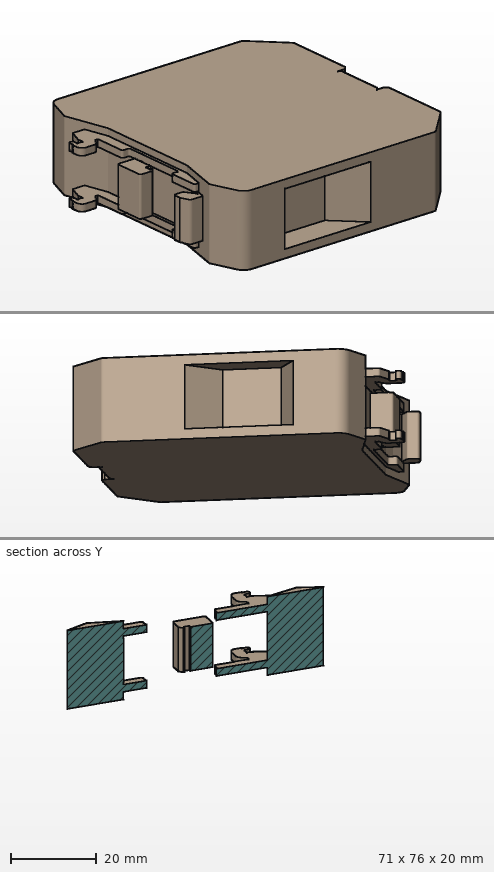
import cadquery as cq
import math

width = 71.0
height = 76.0
thickness = 20.0
half_width = width / 2
back_y = height / 2
hook_tip_y = -height / 2

back_chamfer = 8.5
small_round = 1.0
side_end_y = -28.0
toe_x = 26.6
toe_y = -31.3
toe_round = 0.5
seat_x = 14.45
seat_y = -28.1
front_corner_round = 3.05

notch_half_width = 7.15
notch_depth = 2.2
notch_bevel = 0.8

pocket_half_height = 7.6
pocket_depth = 7.5
pocket_mouth = (-15.9, 9.9)
pocket_floor = (-11.55, 2.3)

plate_inner_z = 6.1
plate_thickness = 2.0
foot_half_width = 21.0
foot_edge_y = -31.15
relief_y = -29.0
relief_left_x = -5.55
relief_right_x = 12.55
slider_half_height = 5.6
fine_round = 0.5
throat_angle = 30
hook_round = 1.5

overlap = 1.5
root_y = seat_y + overlap


def prism(points, z_min, z_max):
    """Closed XY polygon extruded from z_min to z_max."""
    return cq.Workplane("XY").workplane(offset=z_min).polyline(points).close().extrude(z_max - z_min)


def round_corners(body, corners, radius):
    """Fillet the Z-parallel edges that pass through the given XY corners."""
    for x, y in corners:
        margin = 0.04
        box = cq.selectors.BoxSelector(
            (x - margin, y - margin, -thickness), (x + margin, y + margin, thickness), boundingbox=False
        )
        body = body.edges("|Z").edges(box).fillet(radius)
    return body


def make_housing():
    """Mirror-symmetric plan, cut in at the front to a seat between two toes."""
    half_thickness = thickness / 2
    chamfer_x = half_width - back_chamfer
    chamfer_y = back_y - back_chamfer
    notch_floor_y = back_y - notch_depth
    right_side = [
        (seat_x, seat_y),
        (toe_x, toe_y),
        (half_width, side_end_y),
        (half_width, chamfer_y),
        (chamfer_x, back_y),
        (notch_half_width + notch_bevel, back_y),
        (notch_half_width, back_y - notch_bevel),
        (notch_half_width, notch_floor_y - notch_bevel),
        (notch_half_width - notch_bevel, notch_floor_y),
    ]
    left_side = [(-x, y) for x, y in reversed(right_side)]
    body = prism(right_side + left_side, -half_thickness, half_thickness)

    for side in (-1, 1):
        back_corners = [(side * half_width, chamfer_y), (side * chamfer_x, back_y)]
        body = round_corners(body, back_corners, small_round)
        body = round_corners(body, [(side * half_width, side_end_y)], front_corner_round)
        body = round_corners(body, [(side * toe_x, toe_y)], toe_round)
    return body


def make_pocket(side):
    """Side-wall pocket whose two end walls slope in towards its floor."""
    mouth_x = side * half_width
    floor_x = side * (half_width - pocket_depth)
    outline = [
        (mouth_x, pocket_mouth[0]),
        (floor_x, pocket_floor[0]),
        (floor_x, pocket_floor[1]),
        (mouth_x, pocket_mouth[1]),
    ]
    return prism(outline, -pocket_half_height, pocket_half_height)


def make_foot_plate(z_min):
    """Plate with a relieved rail edge and a slit, hooked claw at its left end."""
    left_heel = (-foot_half_width, -33.45)
    throat_x = -14.45
    hook_right_x = -12.3
    throat_corner = (throat_x, -32.0)
    shoulder_drop = (hook_right_x - throat_x) * math.tan(math.radians(throat_angle))
    shoulder = (hook_right_x, throat_corner[1] - shoulder_drop)
    hook_corner = (hook_right_x, hook_tip_y)
    nose_x = -17.2
    nose_top = (nose_x, -36.5)
    nose_bottom = (nose_x, -37.8)
    slit_x = -15.5
    slit_y = -34.9
    left_relief = [(relief_left_x, foot_edge_y), (relief_left_x, relief_y)]
    right_relief = [(relief_right_x, relief_y), (relief_right_x, foot_edge_y)]
    right_end = (foot_half_width, foot_edge_y)
    outline = [
        (-foot_half_width, root_y),
        left_heel,
        (nose_x, slit_y),
        (slit_x, slit_y),
        (slit_x, nose_top[1]),
        nose_top,
        nose_bottom,
        (slit_x, nose_bottom[1]),
        (slit_x, hook_tip_y),
        hook_corner,
        shoulder,
        throat_corner,
        (throat_x, foot_edge_y),
        *left_relief,
        *right_relief,
        right_end,
        (foot_half_width, root_y),
    ]
    plate = prism(outline, z_min, z_min + plate_thickness)
    plate = round_corners(plate, [hook_corner, shoulder], hook_round)
    fine_corners = [left_heel, nose_top, nose_bottom, right_end, *left_relief, *right_relief]
    return round_corners(plate, fine_corners, fine_round)


def make_stop():
    """Block with an undercut behind its right-hand lip."""
    left_x = -4.4
    right_x = 3.95
    front_y = -33.5
    undercut_left_x = 1.3
    undercut_right_x = 2.7
    undercut_y = -29.7
    lip_y = -29.1
    lip_bevel = 0.8
    outline = [
        (left_x, root_y),
        (left_x, front_y),
        (right_x, front_y),
        (right_x, lip_y - lip_bevel),
        (right_x - lip_bevel, lip_y),
        (undercut_right_x, lip_y),
        (undercut_right_x, undercut_y),
        (undercut_left_x, undercut_y),
        (undercut_left_x, root_y),
    ]
    stop = prism(outline, -slider_half_height, slider_half_height)
    return round_corners(stop, [(left_x, front_y), (right_x, front_y)], fine_round)


def make_latch():
    """Hooked block that grips the right-hand edge of the rail."""
    left_x = 18.25
    right_x = 23.1
    tip_y = -35.2
    jaw_corner = (left_x, -32.4)
    neck = (21.3, -30.5)
    neck_root = (17.8, -28.95)
    tip_corner = (left_x, tip_y)
    ramp_start = (20.45, tip_y)
    ramp_end = (right_x, -34.1)
    outline = [
        (neck_root[0], root_y),
        neck_root,
        neck,
        jaw_corner,
        tip_corner,
        ramp_start,
        ramp_end,
        (right_x, root_y),
    ]
    latch = prism(outline, -slider_half_height, slider_half_height)
    latch = round_corners(latch, [jaw_corner, tip_corner], fine_round)
    return round_corners(latch, [ramp_end], small_round)


result = make_housing()
for side in (-1, 1):
    result = result.cut(make_pocket(side))
for z_min in (plate_inner_z, -plate_inner_z - plate_thickness):
    result = result.union(make_foot_plate(z_min))
result = result.union(make_stop()).union(make_latch())